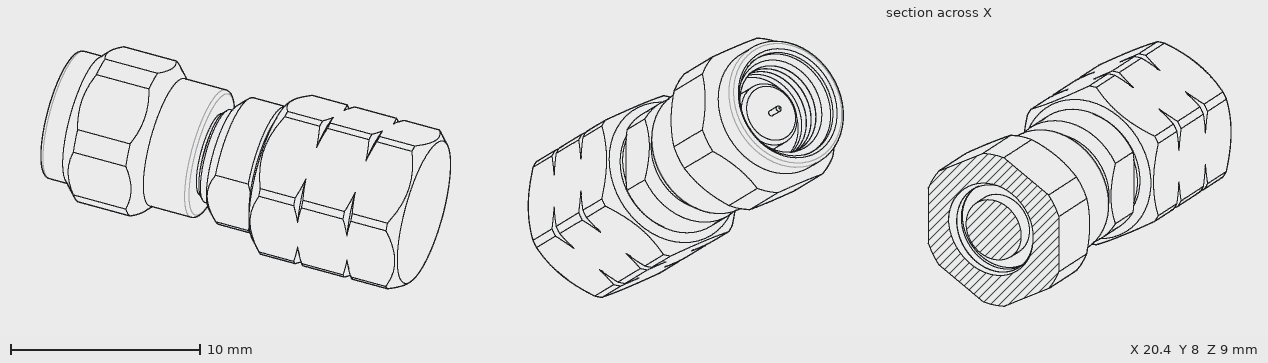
import cadquery as cq
import math

total_length = 20.45

front_body_radius = 3.5
front_body_end = 8.4
front_body_rounding = 0.18
front_hex_corner_radius = 4.3
front_hex_start = 1.3
front_hex_end = 5.88

hex_across_flats = 8.0

neck_radius = 2.25
collar_radius = 2.55
collar_start = 8.6
collar_chamfer = 0.15
clamp_radius = 3.48
clamp_start = 9.25
clamp_end = 11.77
clamp_front_radius = 2.96
clamp_front_cone_length = 0.54
clamp_back_cone_length = 0.12
clamp_across_flats = 6.05
ring_radius = 3.23

rear_nut_start = 12.03
rear_hex_corner_radius = 4.5
rear_hex_chamfer = 0.6
groove_centers = (14.83, 17.63)
groove_half_width = 0.22
groove_depth = 0.4

socket_depth = 3.0
mouth_radius = 3.03
mouth_chamfer = 0.16
mouth_land_radius = mouth_radius - mouth_chamfer
mouth_land_end = 0.4
thread_minor_radius = 2.4
thread_major_radius = 2.75
thread_pitch = 0.5
thread_land = 0.02
thread_start = 0.52
thread_length = 2.2
thread_overlap = 0.02

seat_radius = 1.7
seat_chamfer = 0.2
seat_face = 1.74
pin_radius = 0.15
pin_tip = 0.8
pin_tip_radius = 0.06
pin_tip_length = 0.15


def turned(profile):
    """Revolve a closed (x, radius) outline about the X axis."""
    return cq.Workplane("XY").polyline(profile).close().revolve(360, (0, 0, 0), (1, 0, 0))


def rod(start, end, radius):
    """Round bar along X."""
    return cq.Workplane("YZ", origin=(start, 0, 0)).circle(radius).extrude(end - start)


def hex_bar(start, end):
    """Hexagonal bar along X with flats on the Y sides and corners up and down."""
    corner_diameter = hex_across_flats / math.cos(math.pi / 6)
    section = cq.Workplane("YZ", origin=(start, 0, 0)).transformed(rotate=(0, 0, 90))
    return section.polygon(6, corner_diameter).extrude(end - start)


def turned_hex(start, end, end_radius, corner_radius):
    """Hexagon with 45 degree cones at both ends and turned corners."""
    cone = corner_radius - end_radius
    envelope = turned([
        (start, 0),
        (start, end_radius),
        (start + cone, corner_radius),
        (end - cone, corner_radius),
        (end, end_radius),
        (end, 0),
    ])
    return hex_bar(start, end).intersect(envelope)


def make_front_nut():
    """Round body carrying a shorter hexagon grip."""
    body = rod(0, front_body_end, front_body_radius)
    body = body.faces("<X or >X").edges().fillet(front_body_rounding)
    grip = turned_hex(front_hex_start, front_hex_end, front_body_radius, front_hex_corner_radius)
    return body.union(grip)


def make_middle():
    """Neck, collar, clamp with two wrench flats on the Y sides, and ring."""
    neck = rod(front_body_end, collar_start, neck_radius)
    collar = rod(collar_start, clamp_start, collar_radius).faces("<X").chamfer(collar_chamfer)
    clamp = turned([
        (clamp_start, 0),
        (clamp_start, clamp_front_radius),
        (clamp_start + clamp_front_cone_length, clamp_radius),
        (clamp_end - clamp_back_cone_length, clamp_radius),
        (clamp_end, ring_radius),
        (clamp_end, 0),
    ])
    clamp_length = clamp_end - clamp_start
    flats = cq.Workplane("XY").box(clamp_length, clamp_across_flats, 2 * clamp_radius)
    clamp = clamp.intersect(flats.translate((clamp_start + clamp_length / 2, 0, 0)))
    ring = rod(clamp_end, rear_nut_start, ring_radius)
    return neck.union(collar).union(clamp).union(ring)


def make_rear_nut():
    """Hexagon nut with V grooves turned into its corners."""
    end_radius = rear_hex_corner_radius - rear_hex_chamfer
    nut = turned_hex(rear_nut_start, total_length, end_radius, rear_hex_corner_radius)
    bottom = rear_hex_corner_radius - groove_depth
    cutter_top = bottom + 2 * groove_depth
    cutter_half_width = 2 * groove_half_width
    for center in groove_centers:
        groove = turned([
            (center, bottom),
            (center - cutter_half_width, cutter_top),
            (center + cutter_half_width, cutter_top),
        ])
        nut = nut.cut(groove)
    return nut


def make_socket():
    """Bore cutter: mouth chamfer, short land, 45 degree lead-in, thread bore."""
    lead_in_end = mouth_land_end + mouth_land_radius - thread_minor_radius
    return turned([
        (0, 0),
        (0, mouth_radius),
        (mouth_chamfer, mouth_land_radius),
        (mouth_land_end, mouth_land_radius),
        (lead_in_end, thread_minor_radius),
        (socket_depth, thread_minor_radius),
        (socket_depth, 0),
    ])


def make_thread():
    """V-shaped helical cutter for the socket thread."""
    depth = thread_major_radius - thread_minor_radius
    half_width = (thread_pitch - thread_land) / 2
    inner_radius = thread_minor_radius - thread_overlap
    open_half_width = half_width * (depth + thread_overlap) / depth
    path = cq.Wire.makeHelix(thread_pitch, thread_length, thread_minor_radius)
    section = cq.Workplane("XZ").polyline([
        (inner_radius, -open_half_width),
        (inner_radius, open_half_width),
        (thread_major_radius, 0),
    ]).close()
    cutter = section.sweep(cq.Workplane(path), isFrenet=True)
    cutter = cutter.rotate((0, 0, 0), (0, 1, 0), 90)
    return cutter.translate((thread_start, 0, 0))


def make_contact():
    """Chamfered seat rising from the socket floor, with a thin pointed pin."""
    seat = rod(seat_face, socket_depth, seat_radius).faces("<X").chamfer(seat_chamfer)
    pin = turned([
        (pin_tip, 0),
        (pin_tip, pin_tip_radius),
        (pin_tip + pin_tip_length, pin_radius),
        (socket_depth, pin_radius),
        (socket_depth, 0),
    ])
    return seat.union(pin)


outside = make_front_nut().union(make_middle()).union(make_rear_nut())
result = outside.cut(make_socket()).cut(make_thread()).union(make_contact())